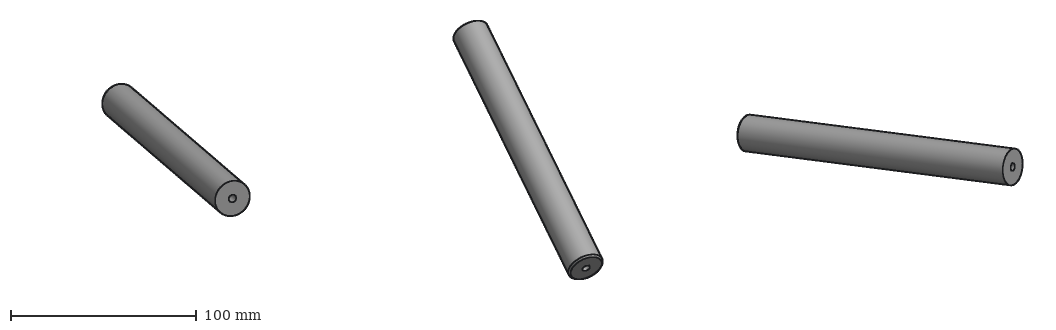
import cadquery as cq

length = 170.0
outer_diameter = 20.0
bore_diameter = 4.2
chamfer_size = 1.0

end_plane = cq.Workplane("YZ").workplane(offset=-length / 2)
bar = end_plane.circle(outer_diameter / 2).extrude(length)

bar = bar.faces("<X").edges().chamfer(chamfer_size)

bore = end_plane.circle(bore_diameter / 2).extrude(length)

result = bar.cut(bore)